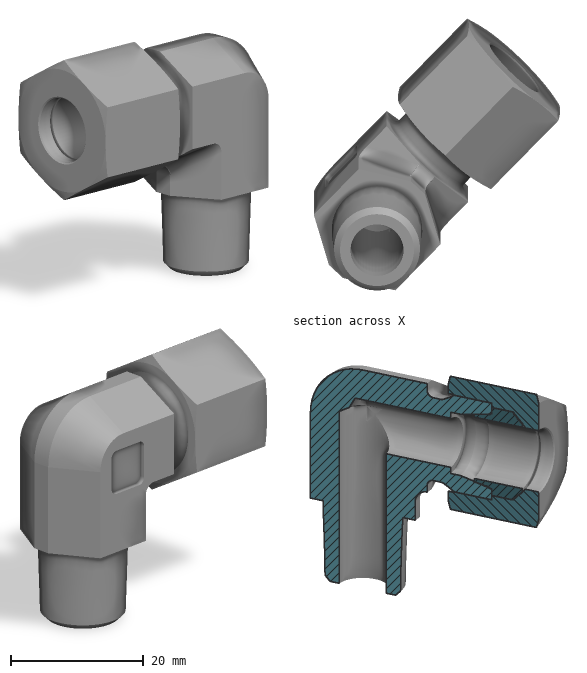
import cadquery as cq
import math


elbow_width = 17.0
elbow_cap = 8.95
arm_end_y = -11.0
arm_end_z = -14.0
inner_fillet = 2.0

stud_diameter = 13.65
stud_land = 1.0
stud_end_z = -27.0
stud_chamfer = 0.9
stud_taper = 1 / 16

thread_diameter = 16.0
neck_diameter = 13.7
relief_radius = 1.0
relief_angle = math.radians(30)
neck_length = 1.32
stub_end_y = -22.0

bore_diameter = 8.0
bore_overrun = 1.3
drill_half_angle = math.radians(60)
tube_diameter = 10.0
tube_stop_y = -15.0
socket_diameter = 12.3
socket_half_angle = math.radians(12)

panel_side = 7.0
panel_corner = 1.0
panel_depth = 0.8
panel_center = -1.0

nut_width = 19.0
nut_back_y = -14.5
nut_front_y = -30.0
nut_chamfer_angle = math.radians(15)
nut_hole_chamfer = 0.2
nut_hole_depth = 2.3

ring_diameter = 14.37
ring_setback = 0.5
ring_nose_length = 3.1

neck_radius = neck_diameter / 2
thread_radius = thread_diameter / 2
tube_radius = tube_diameter / 2
ring_radius = ring_diameter / 2
nut_hole_end_y = nut_front_y + nut_hole_depth
ring_front_y = nut_hole_end_y + ring_setback
shoulder_y = nut_hole_end_y + ring_radius - tube_radius

relief_arc_end = arm_end_y - relief_radius - neck_length
thread_cone_y = relief_arc_end - relief_radius * math.sin(relief_angle)
thread_cone_radius = neck_radius + relief_radius * (1 - math.cos(relief_angle))
thread_start_y = thread_cone_y - (thread_radius - thread_cone_radius) / math.tan(relief_angle)


def turned_on_y(profile):
    """Revolve a closed profile, drawn as (radius, y), around the Y axis."""
    return profile.close().revolve(360, (0, 0, 0), (0, 1, 0))


def turned_on_z(profile):
    """Revolve a closed profile, drawn as (radius, z), around the Z axis."""
    return profile.close().revolve(360, (0, 0, 0), (0, 1, 0))


def arm_outline():
    """Hexagon with two flat sides and truncated crests, listed around the section."""
    half = elbow_width / 2
    side = half * math.tan(math.radians(30))
    crest = half - (elbow_cap - side) / math.tan(math.radians(30))
    quarter = [(half, side), (crest, elbow_cap)]
    upper = quarter + [(-x, v) for x, v in reversed(quarter)]
    return upper + [(-x, -v) for x, v in upper]


def elbow_forging():
    outline = arm_outline()
    stud_arm = cq.Workplane("XY").polyline(outline).close().extrude(arm_end_z)
    tube_arm = cq.Workplane("XZ").polyline(outline).close().extrude(-arm_end_y)
    outer_half = [(elbow_width / 2, 0)] + outline[:4] + [(-elbow_width / 2, 0)]
    bend = cq.Workplane("XY").polyline(outer_half).close().revolve(90, (0, 0, 0), (1, 0, 0))
    forging = stud_arm.union(tube_arm).union(bend)
    inner_corner = cq.selectors.BoxSelector(
        (-elbow_width / 2, -elbow_cap - 0.4, -elbow_cap - 0.4),
        (elbow_width / 2, -0.4, -0.4),
    )
    mitre_edges = forging.edges(inner_corner).filter(
        lambda edge: abs(edge.startPoint().y - edge.startPoint().z) < 0.01
        and abs(edge.endPoint().y - edge.endPoint().z) < 0.005
    )
    return mitre_edges.fillet(inner_fillet)


def tapered_stud():
    land_end = arm_end_z - stud_land
    top = stud_diameter / 2
    rim_z = stud_end_z + stud_chamfer
    rim = top - (land_end - rim_z) * stud_taper / 2
    profile = (
        cq.Workplane("XZ").moveTo(0, arm_end_z).lineTo(top, arm_end_z).lineTo(top, land_end)
        .lineTo(rim, rim_z).lineTo(rim - stud_chamfer, stud_end_z).lineTo(0, stud_end_z)
    )
    return turned_on_z(profile)


def threaded_stub():
    half_turn = math.radians(45)
    root = neck_radius + relief_radius
    root_y = arm_end_y - relief_radius
    root_middle = (root - relief_radius * math.sin(half_turn), root_y + relief_radius * math.cos(half_turn))
    cone_middle = (
        root - relief_radius * math.cos(relief_angle / 2),
        relief_arc_end - relief_radius * math.sin(relief_angle / 2),
    )
    profile = (
        cq.Workplane("XY").moveTo(0, arm_end_y).lineTo(root, arm_end_y)
        .threePointArc(root_middle, (neck_radius, root_y))
        .lineTo(neck_radius, relief_arc_end)
        .threePointArc(cone_middle, (thread_cone_radius, thread_cone_y))
        .lineTo(thread_radius, thread_start_y)
        .lineTo(thread_radius, stub_end_y).lineTo(0, stub_end_y)
    )
    return turned_on_y(profile)


def drilled_profile(plane, start):
    """Bore from a negative start, past the origin, ending in a drill point."""
    radius = bore_diameter / 2
    tip = bore_overrun + radius / math.tan(drill_half_angle)
    return (
        cq.Workplane(plane).moveTo(0, start).lineTo(radius, start)
        .lineTo(radius, bore_overrun).lineTo(0, tip)
    )


def tube_socket():
    """Tapered mouth that narrows to the tube diameter and ends at the tube stop."""
    mouth = socket_diameter / 2
    taper_end = stub_end_y + (mouth - tube_radius) / math.tan(socket_half_angle)
    profile = (
        cq.Workplane("XY").moveTo(0, stub_end_y).lineTo(mouth, stub_end_y)
        .lineTo(tube_radius, taper_end).lineTo(tube_radius, tube_stop_y).lineTo(0, tube_stop_y)
    )
    return turned_on_y(profile)


def panel_recess():
    return (
        cq.Workplane("YZ", origin=(-elbow_width / 2, panel_center, panel_center))
        .rect(panel_side, panel_side).extrude(panel_depth).edges("|X").fillet(panel_corner)
    )


def make_elbow():
    solid = elbow_forging().union(tapered_stud()).union(threaded_stub())
    solid = solid.cut(turned_on_y(drilled_profile("XY", stub_end_y)))
    solid = solid.cut(turned_on_z(drilled_profile("XZ", stud_end_z)))
    return solid.cut(tube_socket()).cut(panel_recess())


def nut_envelope():
    """Turned shape whose two cones chamfer the corners of the nut."""
    flat = nut_width / 2
    corner = flat / math.cos(math.radians(30))
    drop = (corner - flat) * math.tan(nut_chamfer_angle)
    profile = (
        cq.Workplane("XY").moveTo(0, nut_back_y).lineTo(flat, nut_back_y)
        .lineTo(corner, nut_back_y - drop).lineTo(corner, nut_front_y + drop)
        .lineTo(flat, nut_front_y).lineTo(0, nut_front_y)
    )
    return turned_on_y(profile)


def nut_cavity():
    """Thread bore, ring seat with a 45 degree shoulder, and chamfered tube hole."""
    chamfer_y = nut_front_y + nut_hole_chamfer
    profile = (
        cq.Workplane("XY").moveTo(0, nut_back_y).lineTo(thread_radius, nut_back_y)
        .lineTo(thread_radius, stub_end_y).lineTo(ring_radius, stub_end_y)
        .lineTo(ring_radius, shoulder_y).lineTo(tube_radius, nut_hole_end_y)
        .lineTo(tube_radius, chamfer_y)
        .lineTo(tube_radius + nut_hole_chamfer, nut_front_y).lineTo(0, nut_front_y)
    )
    return turned_on_y(profile)


def make_nut():
    across_corners = nut_width / math.cos(math.radians(30))
    hexagon = (
        cq.Workplane("XZ", origin=(0, nut_back_y, 0)).transformed(rotate=(0, 0, 90))
        .polygon(6, across_corners).extrude(nut_back_y - nut_front_y)
    )
    return hexagon.intersect(nut_envelope()).cut(nut_cavity())


def make_ring():
    """Cutting ring: collar in the nut and a nose in the tapered socket."""
    mouth = socket_diameter / 2
    nose_y = stub_end_y + ring_nose_length
    nose_radius = mouth - ring_nose_length * math.tan(socket_half_angle)
    profile = (
        cq.Workplane("XY").moveTo(tube_radius, nose_y).lineTo(nose_radius, nose_y)
        .lineTo(mouth, stub_end_y).lineTo(ring_radius, stub_end_y)
        .lineTo(ring_radius, shoulder_y).lineTo(tube_radius + ring_setback, ring_front_y)
        .lineTo(tube_radius, ring_front_y)
    )
    return turned_on_y(profile)


elbow = make_elbow()
nut = make_nut()
ring = make_ring()

result = cq.Compound.makeCompound([elbow.val(), nut.val(), ring.val()])